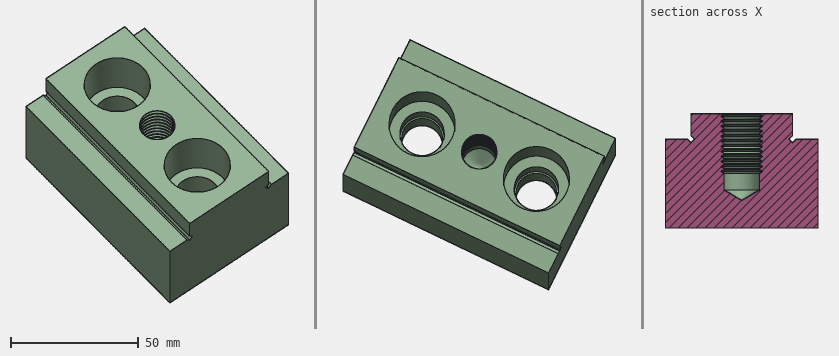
import cadquery as cq
import math

length = 90.0
width = 60.0
height = 45.0
rail_width = 40.0
rail_height = 10.0
ledge_z = height - rail_height

relief_side = 2.0

bolt_spacing = 50.0
counterbore_diameter = 26.0
counterbore_depth = 20.0
clearance_diameter = 17.5
clearance_depth = 30.0
through_diameter = 16.0

thread_minor_diameter = 13.9
thread_major_diameter = 16.0
thread_pitch = 2.0
thread_crest = thread_pitch / 4
thread_root = thread_pitch / 8
thread_count = 12
tapped_depth = 30.0
drill_tip_angle = 118.0


def make_block():
    """Base block carrying the rail, centred on X and Y and standing on Z = 0."""
    base = cq.Workplane("XY").box(length, width, ledge_z, centered=(True, True, False))
    rail = cq.Workplane("XY").box(length, rail_width, height, centered=(True, True, False))
    return base.union(rail)


def make_relief(side):
    """Groove cutter along the rail foot on the given side (-1 or +1 in Y)."""
    cutter = cq.Workplane("XY").box(length, relief_side, relief_side)
    cutter = cutter.rotate((0, 0, 0), (1, 0, 0), 45)
    return cutter.translate((0, side * rail_width / 2, ledge_z))


def cut_bolt_holes(body):
    """Through holes with two steps, opening wide at the rail top."""
    steps = (
        (counterbore_diameter, counterbore_depth),
        (clearance_diameter, clearance_depth),
        (through_diameter, height),
    )
    for diameter, depth in steps:
        body = (
            body.faces(">Z")
            .workplane(origin=(0, 0, height))
            .pushPoints([(-bolt_spacing / 2, 0), (bolt_spacing / 2, 0)])
            .hole(diameter, depth)
        )
    return body


def make_tapped_hole():
    """Solid filling the tapped hole and its drill tip; half a crest lies above the first groove."""
    minor_radius = thread_minor_diameter / 2
    major_radius = thread_major_diameter / 2
    flank_height = (thread_pitch - thread_crest - thread_root) / 2
    tip_depth = minor_radius / math.tan(math.radians(drill_tip_angle / 2))

    outline = [(0, height), (minor_radius, height)]
    for turn in range(thread_count):
        groove_top = height - thread_crest / 2 - turn * thread_pitch
        root_top = groove_top - flank_height
        root_bottom = root_top - thread_root
        outline += [
            (minor_radius, groove_top),
            (major_radius, root_top),
            (major_radius, root_bottom),
            (minor_radius, root_bottom - flank_height),
        ]
    outline += [
        (minor_radius, height - tapped_depth),
        (0, height - tapped_depth - tip_depth),
    ]
    return cq.Workplane("XZ").polyline(outline).close().revolve(360, (0, 0), (0, 1))


result = make_block()
for side in (-1, 1):
    result = result.cut(make_relief(side))
result = cut_bolt_holes(result)
result = result.cut(make_tapped_hole())